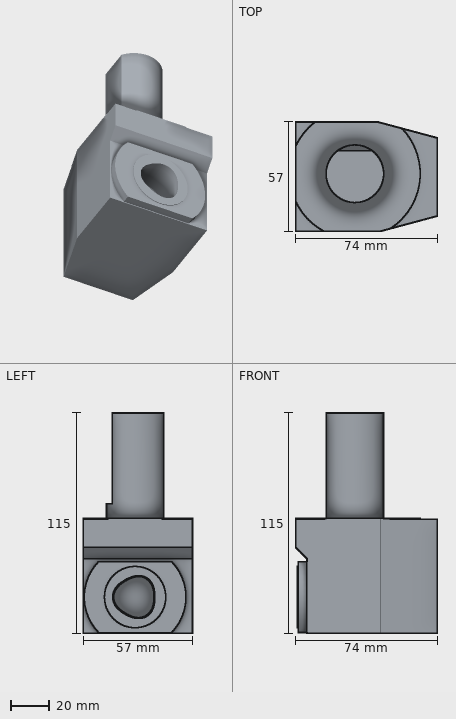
import cadquery as cq
import math

TOTAL_HEIGHT = 115.0
LENGTH = 74.0
FRONT_X = -30.9
BACK_X = FRONT_X + LENGTH
SIDE_Y_MIN = -30.0
SIDE_Y_MAX = 27.0
TAPER_START_X_MIN = 13.3
TAPER_START_X_MAX = 12.0
TAPER_ANGLE = 15.0
SEAT_Z = 60.0
SEAT_DIAMETER = 68.1
SEAT_RISE = 0.5

UNDERCUT_DEPTH = 6.0
UNDERCUT_TOP_Z = 38.9
MOUNT_X = FRONT_X + UNDERCUT_DEPTH

SHANK_DIAMETER = 30.0
FLAT_Y = 12.0
FLAT_START_Z = SEAT_Z + 7.6

SOCKET_Z = 19.0
FLANGE_DIAMETER = 53.0
FLANGE_HEIGHT = 37.0
FLANGE_THICKNESS = 4.6
SLEEVE_DIAMETER = 32.0
SLEEVE_RISE = 0.5
MOUTH_X = MOUNT_X - FLANGE_THICKNESS - SLEEVE_RISE

BORE_RADIUS = 10.99
LOBE_HEIGHT = 0.68
BORE_DEPTH = 19.0
BORE_SLOPE = 1 / 40
BORE_FLOOR_X = MOUTH_X + BORE_DEPTH


def make_cylinder_x(diameter, start_x, end_x):
    """Cylinder along X on the socket axis."""
    plane = cq.Plane(origin=(start_x, 0, SOCKET_Z), xDir=(0, 1, 0), normal=(1, 0, 0))
    return cq.Workplane(plane).circle(diameter / 2).extrude(end_x - start_x)


def make_block(height):
    """Block whose sides taper towards the back."""
    slope = math.tan(math.radians(TAPER_ANGLE))
    outline = [
        (FRONT_X, SIDE_Y_MIN),
        (TAPER_START_X_MIN, SIDE_Y_MIN),
        (BACK_X, SIDE_Y_MIN + slope * (BACK_X - TAPER_START_X_MIN)),
        (BACK_X, SIDE_Y_MAX - slope * (BACK_X - TAPER_START_X_MAX)),
        (TAPER_START_X_MAX, SIDE_Y_MAX),
        (FRONT_X, SIDE_Y_MAX),
    ]
    return cq.Workplane("XY").polyline(outline).close().extrude(height)


def make_undercut():
    """Notch below the overhang, with a 45 degree upper face."""
    profile = [
        (FRONT_X, 0),
        (MOUNT_X, 0),
        (MOUNT_X, UNDERCUT_TOP_Z),
        (FRONT_X, UNDERCUT_TOP_Z + UNDERCUT_DEPTH),
    ]
    width = SIDE_Y_MAX - SIDE_Y_MIN
    plane = cq.Workplane("XZ", origin=(0, SIDE_Y_MAX, 0))
    return plane.polyline(profile).close().extrude(width)


def make_shank():
    """Round shank with a flat that stops short of the seating face."""
    radius = SHANK_DIAMETER / 2
    shank = cq.Workplane("XY", origin=(0, 0, SEAT_Z)).circle(radius).extrude(TOTAL_HEIGHT - SEAT_Z)
    flat = cq.Workplane("XY").box(
        SHANK_DIAMETER, radius - FLAT_Y, TOTAL_HEIGHT - FLAT_START_Z, centered=(True, False, False)
    )
    return shank.cut(flat.translate((0, FLAT_Y, FLAT_START_Z)))


def make_housing():
    seat = cq.Workplane("XY").circle(SEAT_DIAMETER / 2).extrude(SEAT_Z)
    seat = seat.intersect(make_block(SEAT_Z))
    housing = make_block(SEAT_Z - SEAT_RISE).union(seat).cut(make_undercut())
    recess = make_cylinder_x(SLEEVE_DIAMETER, MOUNT_X, BORE_FLOOR_X)
    return housing.cut(recess).union(make_shank())


def make_lobed_wire(x, radius):
    """Closed three-lobed curve with one lobe pointing to +Y."""
    def point(angle):
        reach = radius + LOBE_HEIGHT * math.cos(3 * angle)
        return cq.Vector(x, reach * math.cos(angle), SOCKET_Z + reach * math.sin(angle))

    point_count = 36
    points = [point(2 * math.pi * i / point_count) for i in range(point_count)]
    return cq.Wire.assembleEdges([cq.Edge.makeSpline(points, periodic=True)])


def make_bore():
    mouth = make_lobed_wire(MOUTH_X, BORE_RADIUS)
    floor = make_lobed_wire(BORE_FLOOR_X, BORE_RADIUS - BORE_DEPTH * BORE_SLOPE)
    return cq.Workplane(cq.Solid.makeLoft([mouth, floor], True))


def make_socket():
    """Flange with flats above and below, carrying the sleeve around the bore."""
    flange = make_cylinder_x(FLANGE_DIAMETER, MOUNT_X - FLANGE_THICKNESS, MOUNT_X)
    flats = cq.Workplane("XY", origin=(MOUNT_X, 0, SOCKET_Z)).box(
        2 * FLANGE_THICKNESS, FLANGE_DIAMETER, FLANGE_HEIGHT
    )
    sleeve = make_cylinder_x(SLEEVE_DIAMETER, MOUTH_X, BORE_FLOOR_X)
    return flange.intersect(flats).union(sleeve).cut(make_bore())


housing = make_housing()
socket = make_socket()
result = cq.Compound.makeCompound([housing.val(), socket.val()])